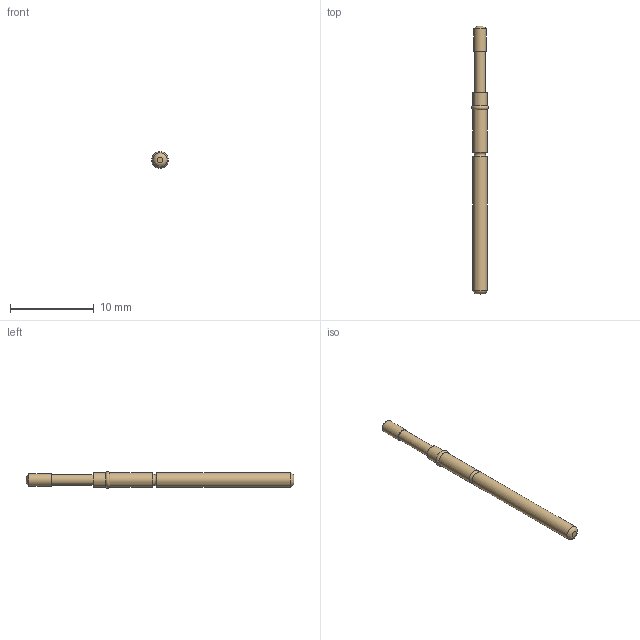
import cadquery as cq

total_length = 32.0
head_length = 3.0
sleeve_length = 24.0
collar_rear = 22.0
collar_width = 0.5
groove_center = 16.65
groove_width = 0.5

sleeve_radius = 0.85
collar_radius = 1.0
groove_depth = 0.2
plunger_radius = 0.65
head_radius = 0.75

rear_nose_length = 0.4
rear_flat_radius = 0.35
head_dome_height = 0.35


def rod(radius, start, end):
    """Cylinder along +Y between two axial stations."""
    return (
        cq.Workplane("XZ", origin=(0, start, 0))
        .circle(radius)
        .extrude(start - end)
    )


def turn(profile):
    """Revolve a closed half section in XY about the pin axis."""
    return profile.revolve(360, (0, 0, 0), (0, 1, 0))


def make_sleeve():
    """Outer sleeve whose rear end curves in to meet a small flat tangentially."""
    nose_width = sleeve_radius - rear_flat_radius
    nose_arc_radius = (nose_width**2 + rear_nose_length**2) / (2 * rear_nose_length)
    return turn(
        cq.Workplane("XY")
        .lineTo(rear_flat_radius, 0)
        .radiusArc((sleeve_radius, rear_nose_length), -nose_arc_radius)
        .lineTo(sleeve_radius, sleeve_length)
        .lineTo(0, sleeve_length)
        .close()
    )


def make_collar():
    """Press-fit stop collar with a half-round rim."""
    rim_base_radius = collar_radius - collar_width / 2
    collar_front = collar_rear + collar_width
    return turn(
        cq.Workplane("XY")
        .moveTo(0, collar_rear)
        .lineTo(rim_base_radius, collar_rear)
        .threePointArc(
            (collar_radius, collar_rear + collar_width / 2),
            (rim_base_radius, collar_front),
        )
        .lineTo(0, collar_front)
        .close()
    )


def make_groove_cutter():
    """Ring whose section is a circular segment, for the rolled groove."""
    half_width = groove_width / 2
    return turn(
        cq.Workplane("XY")
        .moveTo(sleeve_radius, groove_center - half_width)
        .threePointArc(
            (sleeve_radius - groove_depth, groove_center),
            (sleeve_radius, groove_center + half_width),
        )
        .close()
    )


def make_plunger():
    """Plunger shaft carrying a wider head with a spherical domed tip."""
    head_start = total_length - head_length
    dome_start = total_length - head_dome_height
    dome_radius = (head_radius**2 + head_dome_height**2) / (2 * head_dome_height)
    shaft = rod(plunger_radius, sleeve_length, head_start)
    head = turn(
        cq.Workplane("XY")
        .moveTo(0, head_start)
        .lineTo(head_radius, head_start)
        .lineTo(head_radius, dome_start)
        .radiusArc((0, total_length), -dome_radius)
        .close()
    )
    return shaft.union(head)


result = make_sleeve().union(make_collar()).cut(make_groove_cutter()).union(make_plunger())